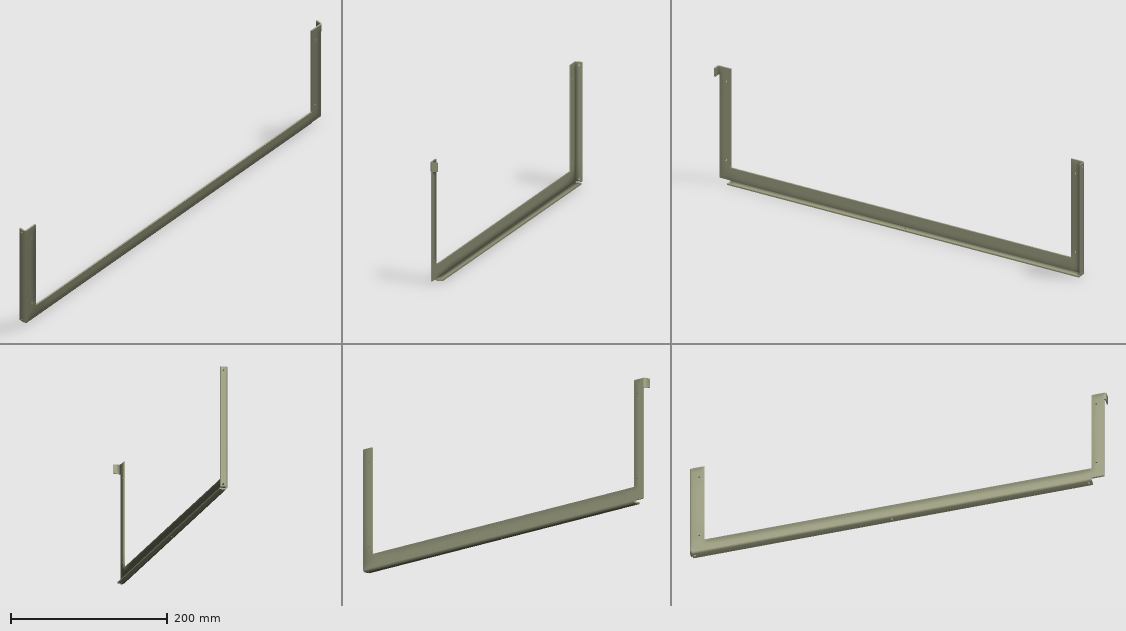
import cadquery as cq

length = 550.0
height = 161.0

sheet = 2.0
bend_radius = 2.95
inner_radius = bend_radius - sheet

flange_flat = 7.0
depth = flange_flat + bend_radius

arm_width = 20.0
base_height = 21.0
base_flange_end = length - arm_width

tab_height = 12.0

hole_diameter = 2.5
flange_hole_x = 4.1
corner_hole_inset = 6.0
end_hole_inset = 4.5
arm_hole_inset = 13.0
arm_hole_heights = (30.0, height - 19.0)


def box(x_range, y_range, z_range):
    """Box spanning the given (start, end) ranges."""
    sizes = [end - start for start, end in (x_range, y_range, z_range)]
    corner = (x_range[0], y_range[0], z_range[0])
    return cq.Workplane("XY").box(*sizes, centered=False).translate(corner)


def flange(flange_length):
    """Bend and flange running along +Z, with the flange face on Y = 0."""
    diagonal = 0.5 ** 0.5
    outer_mid = (flange_flat + bend_radius * diagonal, bend_radius * (1 - diagonal))
    inner_mid = (flange_flat + inner_radius * diagonal, bend_radius - inner_radius * diagonal)
    return (
        cq.Workplane("XY")
        .moveTo(0, 0)
        .lineTo(flange_flat, 0)
        .threePointArc(outer_mid, (depth, bend_radius))
        .lineTo(depth - sheet, bend_radius)
        .threePointArc(inner_mid, (flange_flat, sheet))
        .lineTo(0, sheet)
        .close()
        .extrude(flange_length)
    )


def frame_plate():
    """Flat U-shaped plate, reaching only to the start of each bend."""
    plate = box((depth - sheet, depth), (bend_radius, length - bend_radius), (bend_radius, height))
    opening = box((0, depth), (arm_width, length - arm_width), (base_height, height))
    return plate.cut(opening)


def hole(center, axis):
    """Cutter through one sheet, centred on the given point."""
    cutter_length = 4 * sheet
    start = cq.Vector(*center) - cq.Vector(*axis) * (cutter_length / 2)
    return cq.Workplane(cq.Solid.makeCylinder(hole_diameter / 2, cutter_length, start, cq.Vector(*axis)))


side_flange = flange(height - bend_radius).translate((0, 0, bend_radius))
bottom_flange = (
    flange(base_flange_end - bend_radius)
    .mirror("XY")
    .rotate((0, 0, 0), (1, 0, 0), 90)
    .translate((0, bend_radius, 0))
)
tab = flange(tab_height).mirror("XZ").translate((0, length, height - tab_height))

result = frame_plate().union(side_flange).union(bottom_flange).union(tab)

for y in (arm_hole_inset, length - arm_hole_inset):
    for z in arm_hole_heights:
        result = result.cut(hole((depth - sheet / 2, y, z), (1, 0, 0)))

for z in (corner_hole_inset, height - end_hole_inset):
    result = result.cut(hole((flange_hole_x, sheet / 2, z), (0, 1, 0)))

last_hole_y = base_flange_end - end_hole_inset
for y in (corner_hole_inset, (corner_hole_inset + last_hole_y) / 2, last_hole_y):
    result = result.cut(hole((flange_hole_x, y, sheet / 2), (0, 0, 1)))